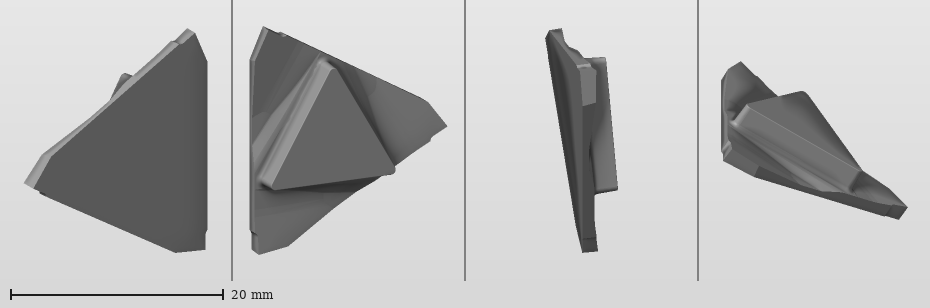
import cadquery as cq
import math

CORNERS = 3
tolerance = 0.01

side_distance = 7.12
side_end = 8.42
notch_end = 9.07
notch_step = 0.28
notch_radius = 0.55
tip_reach = 10.71
end_face_setback = 0.30
tip_back_offset = (-0.07, 0.12)
relief_height = 1.5
blank_height = 4.0

floor_height = 0.62
strip_height = 1.14
floor_start = 0.27
strip_edge = 6.35
ramp_start = 7.08
ramp_slope = 0.103
ramp_end = 12.0
overhang = 0.87

flank_inner = 3.2
flank_left = -side_distance - overhang
flank_right = 6.5
flank_middle = -0.75
flank_left_shape = (4.44, 4.82, 0.05)
flank_middle_shape = (4.58, 5.63, 0.2)
flank_right_shape = (5.15, 6.40, 0.35)
foot_fillet = 0.3

boss_height = 3.5
boss_inradius = 3.92
boss_corner_radius = 0.47
boss_draft = 3.0
boss_edge_fillet = 0.08
boss_root_fillet = 0.42


def rotated(point, index):
    """Point turned around the axis to the corner with the given index."""
    angle = 2 * math.pi * index / CORNERS
    x, y = point
    return (x * math.cos(angle) - y * math.sin(angle), x * math.sin(angle) + y * math.cos(angle))


def around_axis(solid):
    """The solid joined with its copies at the other corners."""
    joined = solid
    for index in range(1, CORNERS):
        joined = joined.union(solid.rotate((0, 0, 0), (0, 0, 1), 360 * index / CORNERS))
    return joined


def outline_wire(height, scale):
    """Plate outline; scale is 0 at full size and 1 at the back, where the ends are relieved."""
    tip_x = -side_distance + notch_step + scale * tip_back_offset[0]
    tip_y = -tip_reach + scale * tip_back_offset[1]
    end_face = (-side_distance, side_end - scale * end_face_setback)
    step = side_distance + tip_x
    sweep = math.acos(1 - step / notch_radius)

    def on_notch(angle):
        return (
            tip_x - notch_radius * (1 - math.cos(angle)),
            notch_radius * math.sin(angle) - notch_end,
        )

    outline = cq.Workplane("XY", origin=(0, 0, height)).moveTo(*end_face)
    for index in range(CORNERS):
        outline = (
            outline.lineTo(*rotated(on_notch(sweep), index))
            .threePointArc(rotated(on_notch(sweep / 2), index), rotated(on_notch(0), index))
            .lineTo(*rotated((tip_x, tip_y), index))
        )
        if index < CORNERS - 1:
            outline = outline.lineTo(*rotated(end_face, index + 1))
    return outline.close().val()


def plate_blank():
    """Prism with the outline of the plate and relieved end faces."""
    back = outline_wire(0, 1)
    front = outline_wire(blank_height, 1 - blank_height / relief_height)
    return cq.Workplane(cq.Solid.makeLoft([back, front], True))


def section_plane(position, height=0):
    """Upright plane square to the tangential direction; its axes are outward and up."""
    return cq.Plane((position, 0, height), xDir=(0, -1, 0), normal=(-1, 0, 0))


def corner_ramp():
    """Strip and tip ramp, sinking together from the long side to the floor."""
    fall = (strip_height - floor_height) / (floor_start + side_distance)
    top = strip_height + overhang * fall
    total_drop = fall * (flank_right - flank_left)
    blend_width = ramp_start - strip_edge
    blend_angle = math.atan(ramp_slope)
    blend_radius = blend_width / math.sin(blend_angle)
    blend_middle = (
        strip_edge + blend_radius * math.sin(blend_angle / 2),
        top + blend_radius * (1 - math.cos(blend_angle / 2)),
    )
    ramp_base = top + blend_radius * (1 - math.cos(blend_angle))

    def section(position, drop):
        return (
            cq.Workplane(section_plane(position, -drop))
            .moveTo(flank_inner, 0)
            .lineTo(flank_inner, top)
            .lineTo(strip_edge, top)
            .threePointArc(blend_middle, (ramp_start, ramp_base))
            .lineTo(ramp_end, ramp_base + ramp_slope * (ramp_end - ramp_start))
            .lineTo(ramp_end, 0)
            .close()
            .val()
        )

    sections = [section(flank_left, 0), section(flank_right, total_drop)]
    return cq.Workplane(cq.Solid.makeLoft(sections, True))


def flank():
    """Plateau edge and the twisted flank falling from it, with a tapering round between."""

    def section(position, top, foot, tangent):
        run = foot - top
        drop = strip_height - floor_height
        angle = math.atan2(drop, run)
        radius = tangent / math.tan(angle / 2)
        arc_start = top - tangent
        middle = (
            arc_start + radius * math.sin(angle / 2),
            strip_height - radius * (1 - math.cos(angle / 2)),
        )
        end = (top + tangent * math.cos(angle), strip_height - tangent * math.sin(angle))
        base = (top + run * strip_height / drop, 0)
        return (
            cq.Workplane(section_plane(position))
            .moveTo(flank_inner, 0)
            .lineTo(flank_inner, strip_height)
            .lineTo(arc_start, strip_height)
            .threePointArc(middle, end)
            .lineTo(*base)
            .close()
            .val()
        )

    sections = [
        section(flank_left, *flank_left_shape),
        section(flank_middle, *flank_middle_shape),
        section(flank_right, *flank_right_shape),
    ]
    return cq.Workplane(cq.Solid.makeLoft(sections))


def foot_edges(body):
    """The two curved foot edges of the flank, which meet where the strip sinks to the floor."""
    edges = []
    for edge in body.edges("not %LINE").vals():
        for end in (edge.startPoint(), edge.endPoint()):
            if abs(end.x - floor_start) < tolerance and -strip_edge + tolerance < end.y:
                edges.append(edge)
    return edges


def corner_surface():
    """Floor, ramp and flank of one corner, with the foot of the flank rounded."""
    width = flank_right - flank_left
    depth = ramp_end - flank_inner
    base = cq.Workplane("XY", origin=(flank_left, -ramp_end, 0))
    slab = base.box(width, depth, floor_height, centered=False)
    envelope = base.box(width, depth, boss_height, centered=False)
    joined = slab.union(corner_ramp()).union(flank()).intersect(envelope)
    return joined.newObject(foot_edges(joined)).fillet(foot_fillet)


def boss():
    """Drafted triangular boss with rounded corners and a softened top edge."""
    core_inradius = boss_inradius - boss_corner_radius
    base_growth = boss_height * math.tan(math.radians(boss_draft))
    corner = (core_inradius * math.tan(math.pi / CORNERS), -core_inradius)
    return (
        cq.Workplane("XY")
        .polyline([rotated(corner, i) for i in range(CORNERS)])
        .close()
        .offset2D(boss_corner_radius + base_growth)
        .extrude(boss_height, taper=boss_draft)
        .faces(">Z")
        .edges()
        .fillet(boss_edge_fillet)
    )


def radial_distance(point):
    """Largest distance of a point from the axis, measured square to the boss sides."""
    return max(-rotated((point.x, point.y), index)[1] for index in range(CORNERS))


def with_root_fillet(body):
    """Rounds the edge loop where the walls of the boss meet the plateau."""
    base_growth = boss_height * math.tan(math.radians(boss_draft))
    loop = []
    for edge in body.edges().vals():
        middle = edge.Center()
        on_plateau = abs(middle.z - strip_height) < tolerance
        on_boss = radial_distance(middle) < boss_inradius + base_growth
        if on_plateau and on_boss:
            loop.append(edge)
    return body.newObject(loop).fillet(boss_root_fillet)


floor = cq.Workplane("XY").circle(2 * side_distance).extrude(floor_height)
surface = floor.union(around_axis(corner_surface()))
insert = with_root_fillet(surface.union(boss())).intersect(plate_blank())
standing = cq.Plane((0, 0, 0), xDir=(0, -1, 0), normal=(-1, 0, 0))
result = cq.Workplane(insert.val().moved(cq.Location(standing)))